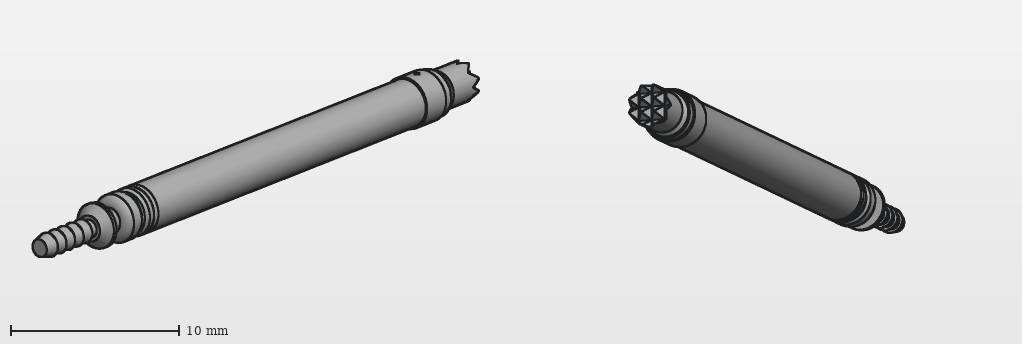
import cadquery as cq

TOTAL_LENGTH = 40.0

HEAD_RADIUS = 1.25
HEAD_END = 2.5
CROWN_PITCH = 0.82
TOOTH_DEPTH = 0.65
PLUNGER_CONE_START_RADIUS = 1.0
PLUNGER_CONE_END = 3.05
PLUNGER_CONE_END_RADIUS = 1.4

BARREL_RADIUS = 1.5
COLLAR_RADIUS = 1.6
COLLAR_START = 3.65
COLLAR_END = 5.45
DIMPLE_STATION = 4.45
DIMPLE_RADIUS = 0.15
DIMPLE_DEPTH = 0.1

NOTCH_START = 30.65
NOTCH_BOTTOM = 30.93
NOTCH_END = 31.05
NOTCH_DEPTH = 0.1
GROOVE_START = 31.45
GROOVE_FLOOR_START = 31.7
GROOVE_FLOOR_END = 31.95
GROOVE_END = 32.2
GROOVE_DEPTH = 0.18
BEVEL_START = 32.95
BEVEL_END = 33.15
BEVEL_END_RADIUS = 1.4
ROLL_MIDDLE = 33.32
ROLL_MIDDLE_RADIUS = 1.2
BARREL_END = 33.4

NECK_RADIUS = 0.8
FLANGE_START = 34.47
FLANGE_RIM = 0.25
FLANGE_RADIUS = 1.4
FLANGE_END = 35.3
FLANGE_END_RADIUS = 0.8

TAIL_RADIUS = 0.55
BARB_COUNT = 5
BARB_PITCH = 0.81
BARB_RADIUS = 0.75
BARB_LENGTH = 0.6
FIRST_BARB = TOTAL_LENGTH - BARB_COUNT * BARB_PITCH


def y_at(station):
    """Y coordinate of a station; the probe is centred on the origin."""
    return TOTAL_LENGTH / 2 - station


def to_points(outline):
    """Turn (radius, station) pairs into XY points."""
    return [(radius, y_at(station)) for radius, station in outline]


def turned_body():
    """Revolve the half section about the Y axis; the barrel's rolled end is an arc."""
    front_outline = [
        (0, 0),
        (HEAD_RADIUS, 0),
        (HEAD_RADIUS, HEAD_END),
        (PLUNGER_CONE_START_RADIUS, HEAD_END),
        (PLUNGER_CONE_END_RADIUS, PLUNGER_CONE_END),
        (BARREL_RADIUS, PLUNGER_CONE_END),
        (BARREL_RADIUS, COLLAR_START),
        (COLLAR_RADIUS, COLLAR_START),
        (COLLAR_RADIUS, COLLAR_END),
        (BARREL_RADIUS, COLLAR_END),
        (BARREL_RADIUS, NOTCH_START),
        (BARREL_RADIUS - NOTCH_DEPTH, NOTCH_BOTTOM),
        (BARREL_RADIUS, NOTCH_END),
        (BARREL_RADIUS, GROOVE_START),
        (BARREL_RADIUS - GROOVE_DEPTH, GROOVE_FLOOR_START),
        (BARREL_RADIUS - GROOVE_DEPTH, GROOVE_FLOOR_END),
        (BARREL_RADIUS, GROOVE_END),
        (BARREL_RADIUS, BEVEL_START),
        (BEVEL_END_RADIUS, BEVEL_END),
    ]
    rear_outline = [
        (NECK_RADIUS, FLANGE_START),
        (FLANGE_RADIUS, FLANGE_START),
        (FLANGE_RADIUS, FLANGE_START + FLANGE_RIM),
        (FLANGE_END_RADIUS, FLANGE_END),
        (TAIL_RADIUS, FLANGE_END),
    ]
    for i in range(BARB_COUNT):
        barb = FIRST_BARB + i * BARB_PITCH
        is_last = i == BARB_COUNT - 1
        barb_end = TOTAL_LENGTH if is_last else barb + BARB_LENGTH
        rear_outline += [(TAIL_RADIUS, barb), (BARB_RADIUS, barb), (TAIL_RADIUS, barb_end)]
    rear_outline.append((0, TOTAL_LENGTH))

    half_section = (
        cq.Workplane("XY")
        .polyline(to_points(front_outline))
        .threePointArc(
            (ROLL_MIDDLE_RADIUS, y_at(ROLL_MIDDLE)),
            (NECK_RADIUS, y_at(BARREL_END)),
        )
        .polyline(to_points(rear_outline), includeCurrent=True)
        .close()
    )
    return half_section.revolve(360, (0, 0), (0, 1))


def crown_groove(offset):
    """V groove along Z cut right across the crown face, its floor line at X = offset."""
    half_mouth = CROWN_PITCH / 2
    section = [
        (offset - half_mouth, y_at(0)),
        (offset + half_mouth, y_at(0)),
        (offset, y_at(TOOTH_DEPTH)),
    ]
    return cq.Workplane("XY").polyline(section).close().extrude(HEAD_RADIUS, both=True)


def collar_dimple():
    """Small round dimple on top of the collar."""
    return (
        cq.Workplane("XY", origin=(0, y_at(DIMPLE_STATION), COLLAR_RADIUS - DIMPLE_DEPTH))
        .circle(DIMPLE_RADIUS)
        .extrude(2 * DIMPLE_DEPTH)
    )


probe = turned_body()

for step in (-1, 0, 1):
    groove = crown_groove(step * CROWN_PITCH)
    probe = probe.cut(groove)
    probe = probe.cut(groove.rotate((0, 0, 0), (0, 1, 0), 90))

result = probe.cut(collar_dimple())